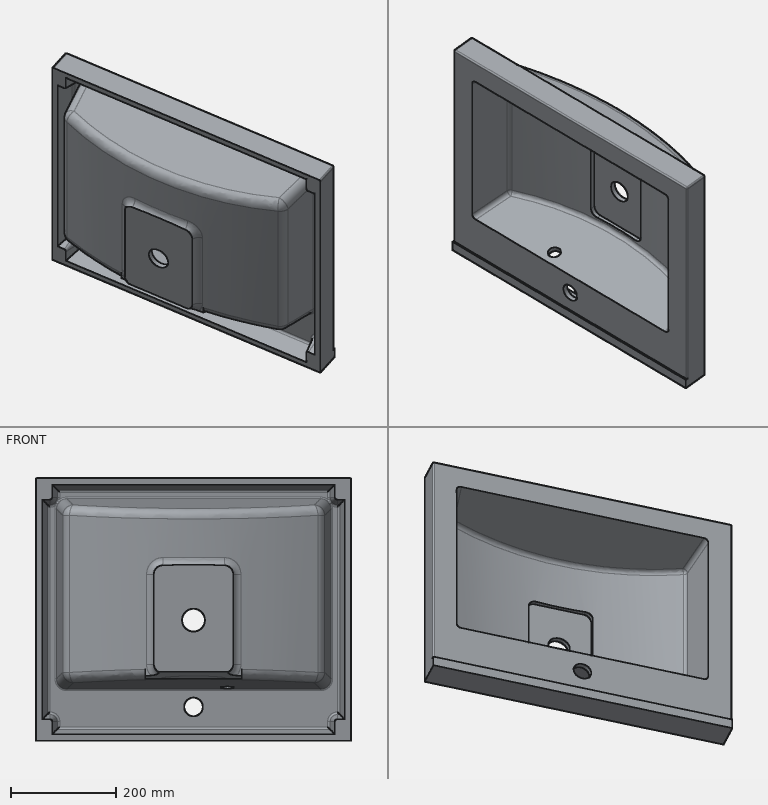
import cadquery as cq
import math


rim_width = 600.0
rim_height = 500.0
rim_depth = 50.0
rim_edge_radius = 3.0
ledge_height = 21.0
ledge_rise = 3.0

rim_wall = 12.5
recess_depth = 39.0
recess_draft = 15.0
recess_floor_radius = 5.0
corner_block_width = 31.0
corner_block_height = 41.0
corner_block_radius = 4.0

bowl_width = 510.0
bowl_height = 350.0
bowl_center_z = 30.0
bowl_draft = 9.5
bowl_sag = 93.0
bowl_arc_radius = 680.0
bowl_edge_radius = 20.0
bowl_base_radius = 3.0
bowl_wall = rim_depth - recess_depth

pad_width = 150.0
pad_height = 201.0
pad_center_z = -18.5
pad_level = 100.0
pad_corner_radius = 15.0
pad_cove_radius = 17.0
pad_slope_level = 77.0
pad_root_level = 70.0

drain_diameter = 43.0
drain_z = -20.5
faucet_diameter = 35.0
faucet_z = -185.5
overflow_diameter = 25.0
overflow_x = 64.5
overflow_y = 22.0

bowl_slope = math.tan(math.radians(bowl_draft))
overshoot = 20.0
margin = 0.1


def make_rim():
    """Slab with rounded upper edges and a raised ledge along its lower edge."""
    slab = cq.Workplane("XY").box(rim_width, rim_depth, rim_height)
    slab = slab.translate((0, rim_depth / 2, 0))
    slab = slab.edges("|Y and >Z").fillet(rim_edge_radius)
    slab = slab.faces(">Y").edges("not <Z").fillet(rim_edge_radius)
    ledge = cq.Workplane("XY").box(rim_width, rim_depth + ledge_rise, ledge_height)
    ledge = ledge.translate((0, (rim_depth + ledge_rise) / 2, (ledge_height - rim_height) / 2))
    return slab.union(ledge)


def make_recess():
    """Drafted pocket under the rim that leaves a solid block in each corner."""
    wide = rim_width - 2 * rim_wall
    narrow = rim_width - 2 * corner_block_width
    tall = rim_height - 2 * rim_wall
    short = rim_height - 2 * corner_block_height
    outline = cq.Sketch().rect(tall, narrow).rect(short, wide)
    block_corners = cq.selectors.BoxSelector(
        (-short / 2 - margin, -narrow / 2 - margin, -margin),
        (short / 2 + margin, narrow / 2 + margin, margin),
    )
    outline = outline.clean().vertices(block_corners).fillet(corner_block_radius).reset()
    pocket = cq.Workplane("ZX").placeSketch(outline).extrude(recess_depth, taper=recess_draft)
    return pocket.faces(">Y").edges().fillet(recess_floor_radius)


def make_bowl(inset):
    """Drafted bowl body with an arched bottom, moved inward everywhere by inset."""
    side_inset = inset / math.cos(math.radians(bowl_draft))
    growth = rim_depth * bowl_slope - side_inset
    bottom = bowl_sag - inset
    arc_radius = bowl_arc_radius - inset
    body = (
        cq.Workplane("XZ", origin=(0, rim_depth, bowl_center_z))
        .rect(bowl_width + 2 * growth, bowl_height + 2 * growth)
        .extrude(rim_depth + bowl_sag + overshoot, taper=bowl_draft)
    )
    arch = (
        cq.Workplane("XY", origin=(0, arc_radius - bottom, -rim_height / 2))
        .circle(arc_radius)
        .extrude(rim_height)
    )
    body = body.intersect(arch)
    return body.edges("not >Y").fillet(bowl_edge_radius - inset)


def make_pad():
    """Drain pad with a concave cove to the arched bottom and a sloped lower face."""
    pad_top = pad_center_z + pad_height / 2
    pad_bottom = pad_center_z - pad_height / 2
    slope_bottom_z = bowl_center_z - bowl_height / 2 + bowl_slope * pad_slope_level
    arch = (
        cq.Workplane("XY", origin=(0, bowl_arc_radius - bowl_sag, -rim_height))
        .circle(bowl_arc_radius)
        .extrude(2 * rim_height)
    )
    post = (
        cq.Workplane("XZ", origin=(0, 0, pad_center_z))
        .rect(pad_width, pad_height)
        .extrude(pad_level + overshoot)
        .edges("|Y")
        .fillet(pad_corner_radius)
    )
    slab = cq.Workplane("XZ").rect(2 * pad_width, 2 * rim_height).extrude(pad_level)
    post = post.union(slab.intersect(arch))
    foot = cq.selectors.BoxSelector(
        (-pad_width / 2 - margin, -bowl_sag + margin, pad_bottom - margin),
        (pad_width / 2 + margin, -pad_slope_level, pad_top + margin),
    )
    post = post.edges(foot).fillet(pad_cove_radius)
    profile = [
        (-pad_level, pad_top + pad_cove_radius),
        (-pad_level, pad_bottom),
        (-pad_slope_level, slope_bottom_z),
        (-pad_root_level, slope_bottom_z),
        (-pad_root_level, pad_top + pad_cove_radius),
    ]
    half_span = pad_width / 2 + pad_cove_radius
    envelope = cq.Workplane("YZ").polyline(profile).close().extrude(half_span, both=True)
    return post.intersect(envelope)


def make_sump():
    """Flat sunk floor around the drain, one wall thickness inside the pad."""
    sump_depth = pad_level - bowl_wall
    return (
        cq.Workplane("XZ", origin=(0, 0, pad_center_z))
        .rect(pad_width - 2 * bowl_wall, pad_height - 2 * bowl_wall)
        .extrude(sump_depth)
        .edges("|Y")
        .fillet(pad_corner_radius)
    )


def make_hole(diameter, x, z, length):
    """Round cutter along Y, running both ways from Y = 0."""
    return cq.Workplane("XZ").center(x, z).circle(diameter / 2).extrude(length, both=True)


def make_overflow():
    """Round cutter square to the lower wall of the bowl."""
    wall_z = bowl_center_z - bowl_height / 2 - bowl_slope * overflow_y
    tilt = math.radians(bowl_draft)
    plane = cq.Plane(
        origin=(overflow_x, overflow_y, wall_z),
        xDir=(1, 0, 0),
        normal=(0, -math.sin(tilt), -math.cos(tilt)),
    )
    return cq.Workplane(plane).circle(overflow_diameter / 2).extrude(1.5 * bowl_wall, both=True)


def round_bowl_base(body):
    """Fillet the edge where the bowl meets the floor of the recess."""
    growth = recess_depth * bowl_slope
    half_width = bowl_width / 2 + growth + margin
    half_height = bowl_height / 2 + growth + margin
    base = cq.selectors.BoxSelector(
        (-half_width, recess_depth - margin, bowl_center_z - half_height),
        (half_width, recess_depth + margin, bowl_center_z + half_height),
    )
    return body.edges(base).fillet(bowl_base_radius)


result = make_rim().cut(make_recess())
result = round_bowl_base(result.union(make_bowl(0)))
result = result.union(make_pad())
result = result.cut(make_bowl(bowl_wall))
result = result.cut(make_sump())
result = result.cut(make_hole(drain_diameter, 0, drain_z, pad_level + overshoot))
result = result.cut(make_hole(faucet_diameter, 0, faucet_z, rim_depth + overshoot))
result = result.cut(make_overflow())